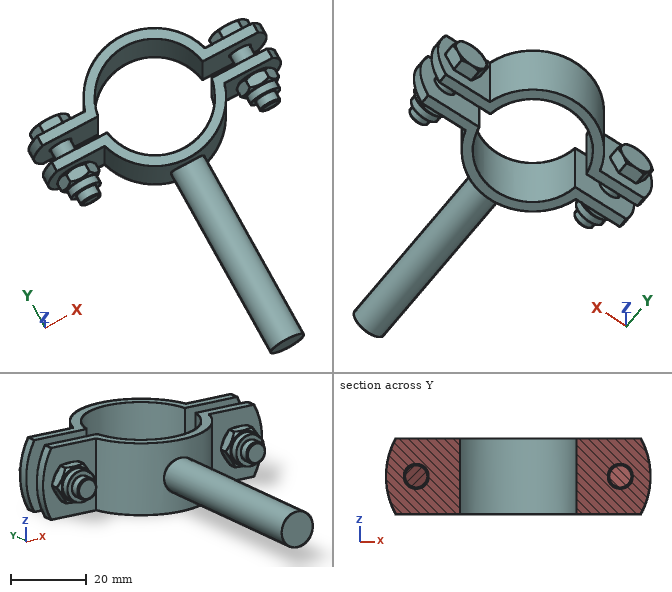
import cadquery as cq
import math


ring_outer_radius = 18.8
strip_thickness = 3.0
ring_inner_radius = ring_outer_radius - strip_thickness
clamp_height = 20.0
clamp_gap = 5.0
ear_inner_y = clamp_gap / 2
ear_outer_y = ear_inner_y + strip_thickness
ear_end_x = 35.0
ear_end_radius = 20.6

total_length = 92.3
rod_diameter = 10.0
rod_end_y = ring_outer_radius - total_length

bolt_x = 27.0
bolt_diameter = 6.0
bolt_hole_diameter = 6.5
bolt_tip_diameter = 5.45
bolt_tip_chamfer = (bolt_diameter - bolt_tip_diameter) / 2
bolt_protrusion = 9.05
hex_across_flats = 10.0
hex_across_corners = hex_across_flats / math.cos(math.radians(30))
head_height = 3.9
head_face_diameter = 10.0
head_bevel_height = 0.4
nut_hex_height = 3.9
nut_face_diameter = 9.4
nut_bevel_height = 0.8
nut_collar_diameter = 8.9
nut_height = 6.2
nut_turn = 2


def cylinder_y(diameter, start_y, end_y, x=0):
    """Cylinder along Y between two Y positions."""
    return (
        cq.Workplane("XZ", origin=(x, end_y, 0))
        .circle(diameter / 2)
        .extrude(end_y - start_y)
    )


def bevelled_hexagon(x, start_y, end_y, face_diameter, start_bevel, end_bevel, turn=0):
    """Hexagonal prism along Y whose corners are cut back by conical bevels at its ends."""
    hexagon = (
        cq.Workplane("XZ", origin=(x, end_y, 0))
        .transformed(rotate=(0, 0, turn))
        .polygon(6, hex_across_corners)
        .extrude(end_y - start_y)
    )
    face_radius = face_diameter / 2
    corner_radius = hex_across_corners / 2
    profile = cq.Workplane("XY", origin=(x, 0, 0)).moveTo(0, start_y)
    if start_bevel > 0:
        profile = profile.lineTo(face_radius, start_y)
    profile = profile.lineTo(corner_radius, start_y + start_bevel)
    profile = profile.lineTo(corner_radius, end_y - end_bevel)
    if end_bevel > 0:
        profile = profile.lineTo(face_radius, end_y)
    envelope = profile.lineTo(0, end_y).close().revolve(360, (0, 0, 0), (0, 1, 0))
    return hexagon.intersect(envelope)


def make_clamp_half():
    """Half ring with two round-ended, drilled ears, on the +Y side of the gap."""
    half_height = clamp_height / 2
    end_centre_x = ear_end_x - ear_end_radius
    ear_corner_x = end_centre_x + math.sqrt(ear_end_radius**2 - half_height**2)
    ears = (
        cq.Workplane("XZ", origin=(0, ear_outer_y, 0))
        .moveTo(-ear_corner_x, -half_height)
        .lineTo(ear_corner_x, -half_height)
        .threePointArc((ear_end_x, 0), (ear_corner_x, half_height))
        .lineTo(-ear_corner_x, half_height)
        .threePointArc((-ear_end_x, 0), (-ear_corner_x, -half_height))
        .close()
        .extrude(strip_thickness)
    )
    disc = cq.Workplane("XY").circle(ring_outer_radius).extrude(half_height, both=True)
    bore = cq.Workplane("XY").circle(ring_inner_radius).extrude(half_height, both=True)
    positive_y_block = (
        cq.Workplane("XY")
        .center(0, ear_inner_y + ring_outer_radius / 2)
        .box(2 * ring_outer_radius, ring_outer_radius, clamp_height)
    )
    half = disc.intersect(positive_y_block).union(ears).cut(bore)
    for side in (-1, 1):
        half = half.cut(cylinder_y(bolt_hole_diameter, ear_inner_y, ear_outer_y, side * bolt_x))
    return half


def make_rod_clamp_half():
    """Clamp half on the -Y side with the rod welded to its ring."""
    bore = cq.Workplane("XY").circle(ring_inner_radius).extrude(clamp_height, both=True)
    rod = cylinder_y(rod_diameter, rod_end_y, 0).cut(bore)
    return make_clamp_half().mirror("XZ").union(rod)


def make_bolt(x):
    """Hexagon bolt with its head on the +Y ear and its tip beyond the -Y ear."""
    shank = (
        cylinder_y(bolt_diameter, -ear_outer_y - bolt_protrusion, ear_outer_y, x)
        .faces("<Y")
        .chamfer(bolt_tip_chamfer)
    )
    head = bevelled_hexagon(
        x, ear_outer_y, ear_outer_y + head_height, head_face_diameter, 0, head_bevel_height
    )
    return head.union(shank)


def make_nut(x):
    """Hexagon nut with a round collar, seated on the -Y ear."""
    seat_y = -ear_outer_y
    hexagon = bevelled_hexagon(
        x, seat_y - nut_hex_height, seat_y, nut_face_diameter, nut_bevel_height,
        nut_bevel_height, nut_turn
    )
    collar = cylinder_y(nut_collar_diameter, seat_y - nut_height, seat_y - nut_hex_height, x)
    bore = cylinder_y(bolt_diameter, seat_y - nut_height, seat_y, x)
    return hexagon.union(collar).cut(bore)


clamp_half = make_clamp_half()
rod_clamp_half = make_rod_clamp_half()
bolts = [make_bolt(side * bolt_x) for side in (-1, 1)]
nuts = [make_nut(side * bolt_x) for side in (-1, 1)]

result = cq.Compound.makeCompound(
    [clamp_half.val(), rod_clamp_half.val()]
    + [bolt.val() for bolt in bolts]
    + [nut.val() for nut in nuts]
)